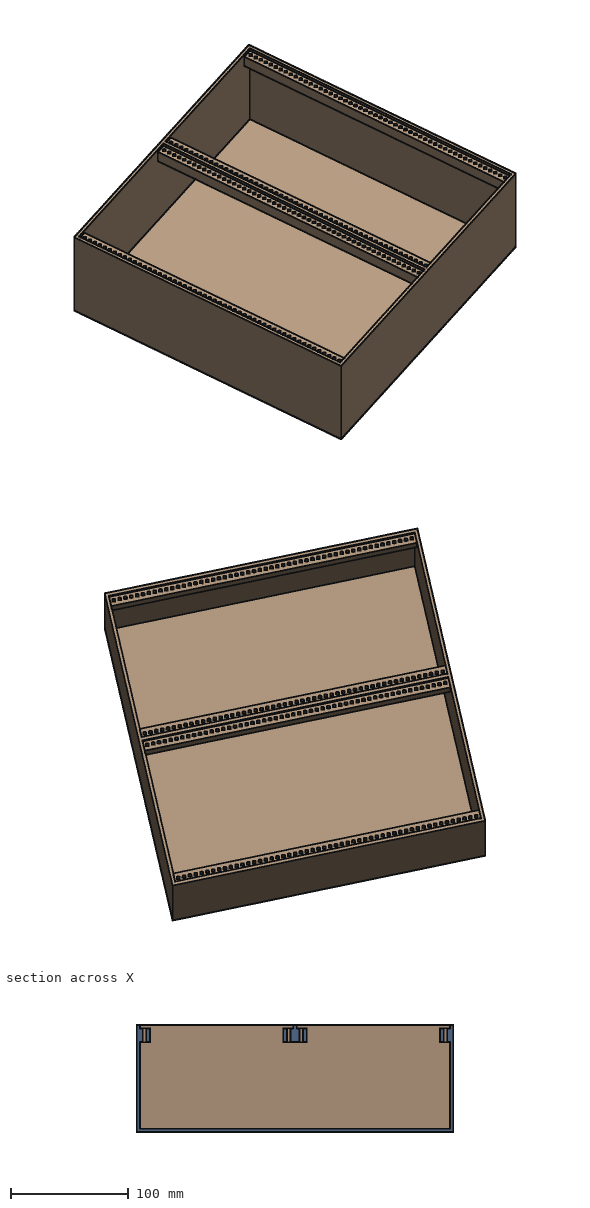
import cadquery as cq

LENGTH = 271.9
DEPTH = 269.0
HEIGHT = 91.0
WALL = 3.0

RAIL_WIDTH = 8.5
RAIL_HEIGHT = 11.5
RAIL_DROP = 3.0

HOLE_DIAMETER = 2.7
HOLE_PITCH = 5.08
HOLES_PER_RAIL = 52
HOLE_ROW_SPACING = 122.5

inner_length = LENGTH - 2 * WALL
bay_depth = (DEPTH - 3 * WALL) / 2
bay_center = (bay_depth + WALL) / 2
rail_top = HEIGHT - RAIL_DROP
rail_bottom = rail_top - RAIL_HEIGHT


def inner_block(depth, y_center, bottom, top):
    """Block between the two X walls, centred on y_center."""
    return cq.Workplane("XY", origin=(0, y_center, bottom)).box(
        inner_length, depth, top - bottom, centered=(True, True, False)
    )


def make_case():
    """Open-topped box."""
    outer = cq.Workplane("XY").box(LENGTH, DEPTH, HEIGHT, centered=(True, True, False))
    return outer.cut(inner_block(DEPTH - 2 * WALL, 0, WALL, HEIGHT))


def make_divider():
    """Rib between the bays, from the underside of the rails up to the rim."""
    return inner_block(WALL, 0, rail_bottom, HEIGHT)


def make_rail(bay_y, edge):
    """Rail along one long edge of a bay, set below the rim and pierced by a row of screw holes."""
    rail_y = bay_y + edge * (bay_depth - RAIL_WIDTH) / 2
    hole_y = bay_y + edge * HOLE_ROW_SPACING / 2
    holes = (
        cq.Workplane("XY", origin=(0, hole_y, rail_bottom))
        .rarray(HOLE_PITCH, 1, HOLES_PER_RAIL, 1)
        .circle(HOLE_DIAMETER / 2)
        .extrude(RAIL_HEIGHT)
    )
    return inner_block(RAIL_WIDTH, rail_y, rail_bottom, rail_top).cut(holes)


result = make_case().union(make_divider())
for bay_y in (-bay_center, bay_center):
    for edge in (-1, 1):
        result = result.union(make_rail(bay_y, edge))